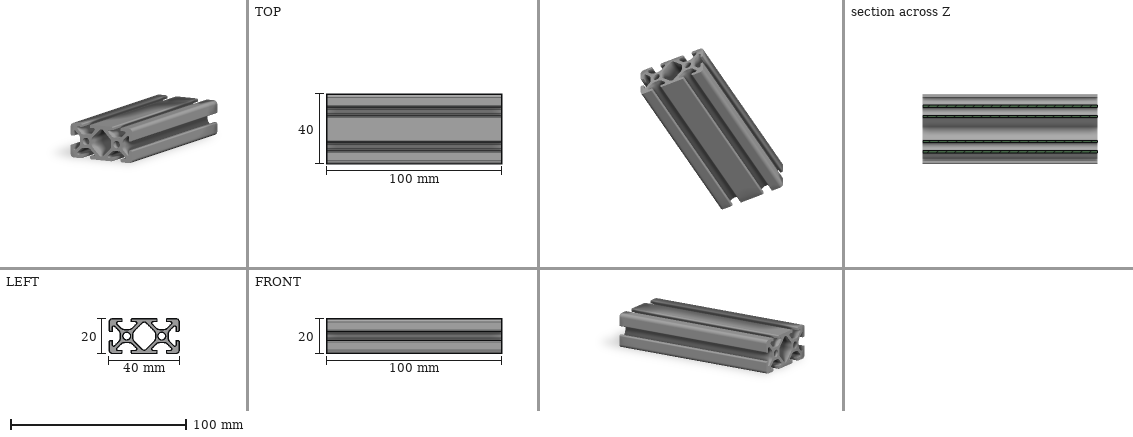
import cadquery as cq
import math

LENGTH = 100.0
CELL = 20.0
CELL_COUNT = 2
CORNER_RADIUS = 2.0

SLOT_OPENING = 5.2
LIP_THICKNESS = 1.8
LIP_EDGE_RADIUS = 0.75
SLOT_TIP_RADIUS = 0.8

CORE_WIDTH = 7.5
CORE_BLEND_RADIUS = 3.1
WEB_THICKNESS = 1.9
BORE_DIAMETER = 4.3

CHAMBER_WIDTH = 12.9
CHAMBER_APEX_RADIUS = 1.7

WIDTH = CELL * CELL_COUNT
HALF_CELL = CELL / 2
HALF_CORE = CORE_WIDTH / 2
HALF_OPENING = SLOT_OPENING / 2
LIP_UNDERSIDE = HALF_CELL - LIP_THICKNESS
WEB_OFFSET = WEB_THICKNESS / math.sqrt(2)
FLOOR_CORNER = HALF_CORE - WEB_OFFSET
TIP_CORNER = LIP_UNDERSIDE - WEB_OFFSET


def extrude_outline(points):
    """Extrude a closed outline in (Y, Z) over the full length."""
    return cq.Workplane("YZ").polyline(points).close().extrude(LENGTH)


def fillet_at(solid, corners, radius):
    """Round the lengthwise edges that pass through the given (Y, Z) corners."""
    for y, z in corners:
        solid = solid.edges(cq.selectors.NearestToPointSelector((LENGTH / 2, y, z))).fillet(radius)
    return solid


def mirrored(y, z):
    """The (Y, Z) corner and its mirror image across the Z axis."""
    return [(y, z), (-y, z)]


def make_slot():
    """Dovetail-shaped undercut and opening of an upward-facing slot on a cell centred at the origin."""
    undercut = extrude_outline([
        (-FLOOR_CORNER, HALF_CORE),
        (FLOOR_CORNER, HALF_CORE),
        (TIP_CORNER, LIP_UNDERSIDE),
        (-TIP_CORNER, LIP_UNDERSIDE),
    ])
    undercut = fillet_at(undercut, mirrored(FLOOR_CORNER, HALF_CORE), CORE_BLEND_RADIUS)
    undercut = fillet_at(undercut, mirrored(TIP_CORNER, LIP_UNDERSIDE), SLOT_TIP_RADIUS)
    lip_edge = HALF_OPENING + LIP_EDGE_RADIUS
    shoulder = HALF_CELL - LIP_EDGE_RADIUS
    opening = (
        cq.Workplane("YZ")
        .moveTo(-HALF_OPENING, LIP_UNDERSIDE)
        .lineTo(HALF_OPENING, LIP_UNDERSIDE)
        .lineTo(HALF_OPENING, shoulder)
        .radiusArc((lip_edge, HALF_CELL), LIP_EDGE_RADIUS)
        .lineTo(-lip_edge, HALF_CELL)
        .radiusArc((-HALF_OPENING, shoulder), LIP_EDGE_RADIUS)
        .close()
        .extrude(LENGTH)
    )
    return undercut.union(opening)


def make_chamber():
    """Rounded six-sided chamber between the two cores."""
    wall = CHAMBER_WIDTH / 2
    apex = HALF_CELL - WEB_OFFSET
    wall_end = apex - wall
    chamber = extrude_outline([
        (0, apex),
        (wall, wall_end),
        (wall, -wall_end),
        (0, -apex),
        (-wall, -wall_end),
        (-wall, wall_end),
    ])
    wall_corners = mirrored(wall, wall_end) + mirrored(wall, -wall_end)
    chamber = fillet_at(chamber, wall_corners, CORE_BLEND_RADIUS)
    return fillet_at(chamber, [(0, apex), (0, -apex)], CHAMBER_APEX_RADIUS)


result = cq.Workplane("YZ").rect(WIDTH, CELL).extrude(LENGTH).edges("|X").fillet(CORNER_RADIUS)

slot = make_slot()
for side in (1, -1):
    cell_centre = (0, side * HALF_CELL, 0)
    bore = cq.Workplane("YZ").circle(BORE_DIAMETER / 2).extrude(LENGTH)
    result = result.cut(bore.translate(cell_centre))
    for angle in (0, 180, -90 * side):
        turned_slot = slot.rotate((0, 0, 0), (1, 0, 0), angle)
        result = result.cut(turned_slot.translate(cell_centre))

result = result.cut(make_chamber())